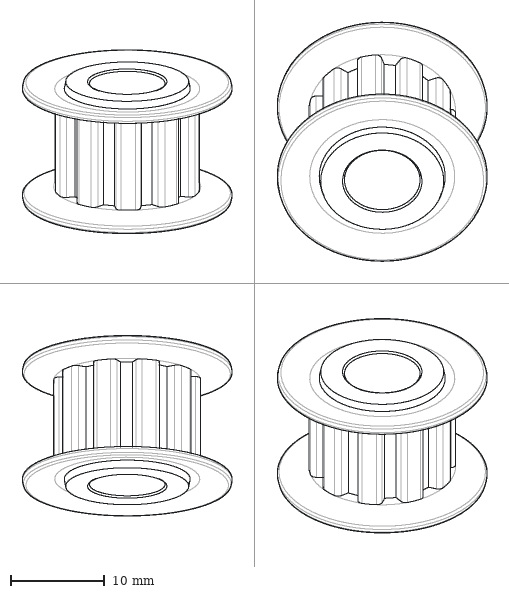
import cadquery as cq
import math

flange_diameter = 22.43
total_height = 13.55
bore_diameter = 8.07
bore_chamfer = 0.2

tooth_count = 10
barrel_height = 10.14
barrel_radius = 7.85
groove_depth = 1.35
groove_floor_width = 1.23
groove_wall_angle = 25.0
tooth_tip_radius = 0.6

flange_thickness = 0.9
dish_start_radius = barrel_radius
dish_angle = 12.8
rim_edge_radius = 0.25

boss_base_radius = 6.73
boss_top_radius = 6.57

flange_radius = flange_diameter / 2
half_height = total_height / 2
half_barrel = barrel_height / 2
flange_top = half_barrel + flange_thickness
tooth_pitch_angle = 360 / tooth_count


def make_groove():
    """Trapezoidal cutter for one tooth gap, on the +Y side of the barrel."""
    floor_y = barrel_radius - groove_depth
    mouth_y = barrel_radius + groove_depth
    floor_half = groove_floor_width / 2
    mouth_half = floor_half + (mouth_y - floor_y) * math.tan(math.radians(groove_wall_angle))
    outline = [
        (-floor_half, floor_y),
        (floor_half, floor_y),
        (mouth_half, mouth_y),
        (-mouth_half, mouth_y),
    ]
    base = cq.Workplane("XY").workplane(offset=-half_barrel)
    return base.polyline(outline).close().extrude(barrel_height)


def is_tooth_tip(edge):
    """True for an edge that lies on the outer surface of the barrel."""
    centre = edge.Center()
    return math.hypot(centre.x, centre.y) > barrel_radius - groove_depth / 2


def make_barrel():
    """Cylinder with evenly spaced grooves and rounded tooth tips."""
    base = cq.Workplane("XY").workplane(offset=-half_barrel)
    barrel = base.circle(barrel_radius).extrude(barrel_height)
    barrel = barrel.rotate((0, 0, 0), (0, 0, 1), tooth_pitch_angle / 2)
    groove = make_groove()
    for index in range(tooth_count):
        barrel = barrel.cut(groove.rotate((0, 0, 0), (0, 0, 1), index * tooth_pitch_angle))
    return barrel.edges("|Z").filter(is_tooth_tip).fillet(tooth_tip_radius)


def make_flange():
    """Upper flange: flat inner ring, then a cone of even thickness with a rounded rim."""
    slope = math.radians(dish_angle)
    rim_inset = flange_thickness * math.sin(slope)
    rim_rise = flange_thickness * math.cos(slope)
    corner_radius = flange_radius + rim_edge_radius * (math.sin(slope) + math.cos(slope) - 1)
    rim_bottom = half_barrel + (corner_radius - dish_start_radius) * math.tan(slope)
    top_bend_radius = dish_start_radius - flange_thickness * math.tan(slope / 2)
    section = [
        (0, half_barrel),
        (dish_start_radius, half_barrel),
        (corner_radius, rim_bottom),
        (corner_radius - rim_inset, rim_bottom + rim_rise),
        (top_bend_radius, flange_top),
        (0, flange_top),
    ]
    disc = cq.Workplane("XZ").polyline(section).close().revolve(360, (0, 0), (0, 1))
    return disc.edges("%CIRCLE").filter(is_rim).fillet(rim_edge_radius)


def is_rim(edge):
    """True for the two corner circles of the flange rim."""
    return edge.radius() > (flange_radius + dish_start_radius) / 2


def make_boss():
    """Upper end boss, tapering from the flange to the end face."""
    section = [
        (0, flange_top),
        (boss_base_radius, flange_top),
        (boss_top_radius, half_height),
        (0, half_height),
    ]
    return cq.Workplane("XZ").polyline(section).close().revolve(360, (0, 0), (0, 1))


def make_bore():
    """Through bore with a chamfer at each end."""
    bore_radius = bore_diameter / 2
    section = [
        (0, -half_height),
        (bore_radius + bore_chamfer, -half_height),
        (bore_radius, bore_chamfer - half_height),
        (bore_radius, half_height - bore_chamfer),
        (bore_radius + bore_chamfer, half_height),
        (0, half_height),
    ]
    return cq.Workplane("XZ").polyline(section).close().revolve(360, (0, 0), (0, 1))


upper_end = make_flange().union(make_boss())
lower_end = upper_end.mirror("XY")
result = make_barrel().union(upper_end).union(lower_end).cut(make_bore())